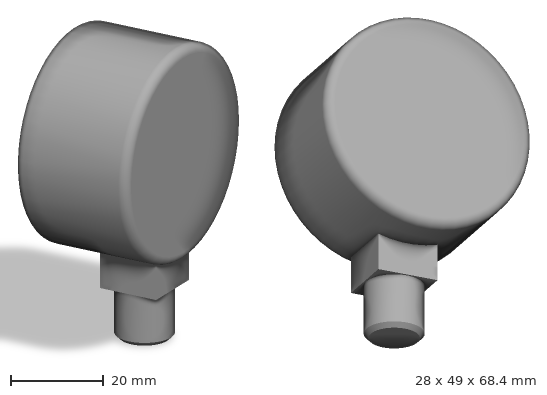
import cadquery as cq

total_height = 68.4
case_diameter = 49.0
case_depth = 28.0
rim_radius = 2.0
stem_offset = 4.05
block_width = 14.0
thread_diameter = 13.1
thread_length = 12.1
thread_chamfer = 1.0

case_radius = case_diameter / 2
thread_bottom = case_radius - total_height
block_bottom = thread_bottom + thread_length


def make_case():
    """Round gauge case along X with both rims rounded."""
    case = cq.Workplane("YZ", origin=(-case_depth / 2, 0, 0)).circle(case_radius).extrude(case_depth)
    return case.edges("%CIRCLE").fillet(rim_radius)


def make_block():
    """Square wrench block, running up to the case axis to join the case."""
    return (
        cq.Workplane("XY", origin=(stem_offset, 0, block_bottom))
        .rect(block_width, block_width)
        .extrude(-block_bottom)
    )


def make_thread():
    """Plain connection spigot with a chamfered lower end."""
    return (
        cq.Workplane("XY", origin=(stem_offset, 0, thread_bottom))
        .circle(thread_diameter / 2)
        .extrude(thread_length)
        .faces("<Z")
        .chamfer(thread_chamfer)
    )


result = make_case().union(make_block()).union(make_thread())